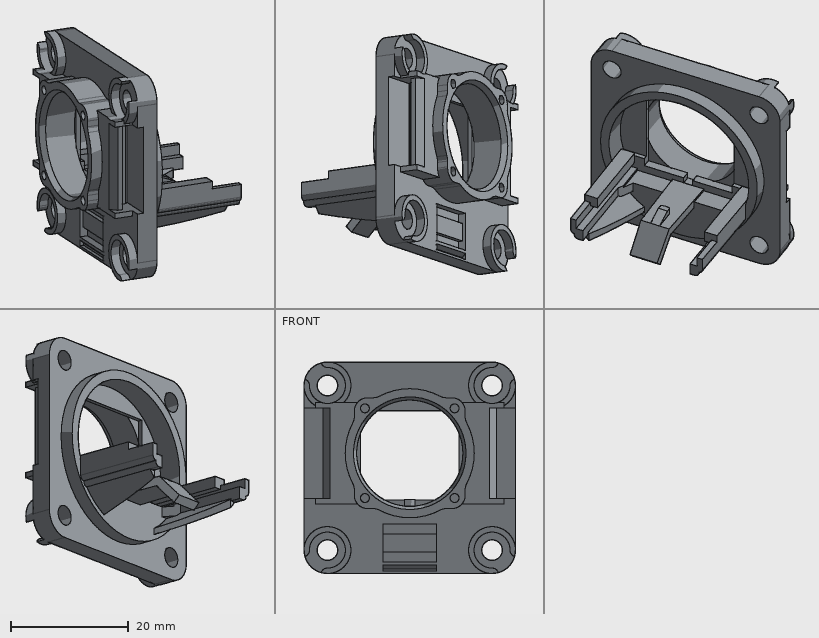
import cadquery as cq
import math

plate_side = 36.0
corner_radius = 4.0
plate_front = -3.7
web_front = -2.55
web_back = -1.0
side_web_back = -1.75
side_web_bottom = -3.95

rim_radius = 14.95
rim_back = 2.5
cavity_radius = 13.32
cavity_floor = -6.9

ring_z = 2.5
ring_front = -9.0
ring_radius = 10.98
bore_radius = 9.05
bore_mouth_radius = 9.58
bore_mouth_depth = 1.0
ear_half = 9.45
ear_corner_radius = 2.25
ear_blend_radius = 2.0
ear_hole_offset = 7.65
ear_hole_radius = 0.75

window_half_width = 8.35
window_top = 9.7
window_bottom = -5.47
notch_half_width = 0.85

collar_front = -5.3
collar_bore_radius = 3.05
collar_lip_radius = 1.15
screw_hole_radius = 1.73
hole_offset = plate_side / 2 - corner_radius

box_front = -7.0
box_half_width = 16.02
box_half_height = 8.65
clip_half_height = 7.7
clip_lip_x = 14.72
clip_mouth_x = 13.6
clip_undercut_x = 12.0
clip_flare = 0.5
clip_lip_back = -5.0

latch_half_width = 4.57
latch_top = -9.58
latch_bottom = -16.02
latch_floor = -2.25
latch_pad_top = -11.25
latch_pad_bottom = -14.33
latch_pad_front = -3.1
slit_top = -16.55
slit_inner_top = -17.2
slit_bottom = -17.6
slit_floor = -3.0

rail_end = 18.55
rail_step_y = 13.05
rail_outer_x = 12.75
rail_tip_x = 12.55
rail_groove_x = 11.52
rail_top = -3.4
rail_tip_top = -4.7
groove_top = -5.4
groove_bottom = -6.5
rail_web_bottom = -7.78
foot_inner_x = 10.2
foot_outer_x = 11.88
foot_bottom = -8.68
rail_round = 0.8
ledge_x = 9.65
brace_x = 8.7
brace_end = 5.35

gusset_outer_radius = 14.1
gusset_thickness = 1.0
gusset_end = 16.65
gusset_base_x = 6.6
gusset_tip_x = 10.0

tab_base_half = 3.0
tab_tip_half = 2.6
tab_thickness = 1.6
tab_bend_y = 11.52
hook_end = 15.88
hook_angle = math.radians(45)
bump_top = -5.35
bump_front = 7.5
bump_side_front = 7.7
bump_crest_end = 8.55


def box(x0, x1, y0, y1, z0, z1):
    """Block between opposite corners."""
    return cq.Workplane("XY").box(x1 - x0, y1 - y0, z1 - z0, centered=False).translate((x0, y0, z0))


def disc(radius, y0, y1, x=0.0, z=0.0):
    """Round disc along Y."""
    return cq.Workplane("XZ", origin=(x, y0, z)).circle(radius).extrude(y0 - y1)


def plan_prism(points, z0, z1):
    """Prism with an outline in X and Y, running up from z0 to z1."""
    return cq.Workplane("XY").workplane(offset=z0).polyline(points).close().extrude(z1 - z0)


def side_prism(points, half_width):
    """Prism with an outline in Y and Z, centred on X = 0."""
    return cq.Workplane("YZ").polyline(points).close().extrude(half_width, both=True)


def both_sides(body):
    """The body together with its mirror image across X = 0."""
    return body.union(body.mirror("YZ"))


def plate_and_rim():
    half = plate_side / 2
    plate = box(-half, half, plate_front, 0, -half, half).edges("|Y").fillet(corner_radius)
    return plate.union(disc(rim_radius, 0, rim_back))


def rear_cavity():
    """Round recess open to the back, with a flat bottom and floors at two depths."""
    r = cavity_radius
    upper = box(-r, r, side_web_back, rim_back, side_web_bottom, r)
    upper = upper.intersect(disc(r, side_web_back, rim_back))
    lower = box(-r, r, web_back, rim_back, cavity_floor, side_web_bottom)
    lower = lower.intersect(disc(r, web_back, rim_back))
    return upper.union(lower)


def bore_ring():
    """Raised ring with four rounded ears blended into it."""
    ears = box(-ear_half, ear_half, ring_front, plate_front, -ear_half, ear_half)
    ears = ears.edges("|Y").fillet(ear_corner_radius)
    ring = disc(ring_radius, ring_front, plate_front).union(ears)
    meet = math.sqrt(ring_radius ** 2 - ear_half ** 2)
    middle_y = (ring_front + plate_front) / 2
    for x, z in ((meet, ear_half), (ear_half, meet)):
        for side_x in (-1, 1):
            for side_z in (-1, 1):
                corner = cq.selectors.NearestToPointSelector((side_x * x, middle_y, side_z * z))
                ring = ring.edges("|Y").edges(corner).fillet(ear_blend_radius)
    return ring.translate((0, 0, ring_z))


def bore_cuts():
    """Bore with a tapered mouth, the window behind it, its notch and the ear holes."""
    cuts = disc(bore_radius, ring_front, web_front, z=ring_z)
    mouth = (cq.Workplane("XZ", origin=(0, ring_front, ring_z)).circle(bore_mouth_radius)
             .workplane(offset=-bore_mouth_depth).circle(bore_radius).loft())
    window = box(-window_half_width, window_half_width, web_front, web_back, window_bottom, window_top)
    notch = box(-notch_half_width, notch_half_width, web_front, web_back, ring_z - bore_radius, window_bottom)
    cuts = cuts.union(mouth).union(window).union(notch)
    for side_x in (-1, 1):
        for side_z in (-1, 1):
            cuts = cuts.union(disc(ear_hole_radius, ring_front, plate_front,
                                   side_x * ear_hole_offset, ring_z + side_z * ear_hole_offset))
    return cuts


def collar_recess():
    """Counterbore open towards the +X +Z corner, with rounded lips at the opening."""
    reach = collar_bore_radius + collar_lip_radius
    mouth = box(0, reach, collar_front, plate_front, 0, reach)
    for x, z in ((reach, 0), (0, reach)):
        mouth = mouth.cut(disc(collar_lip_radius, collar_front, plate_front, x, z))
    return mouth.union(disc(collar_bore_radius, box_front, plate_front))


def at_corners(body):
    """Copies of a body made for the +X +Z corner, mirrored to all four corners."""
    right = body.translate((hole_offset, 0, hole_offset))
    right = right.union(right.mirror("XY"))
    return both_sides(right)


def clip_pocket():
    """Pocket on the -X side, open outwards, with a chamfered lip over an undercut."""
    edge = -plate_side / 2
    lip_chamfer_back = box_front + clip_lip_x - clip_mouth_x
    outline = [(edge, box_front), (-clip_mouth_x, box_front), (-clip_lip_x, lip_chamfer_back),
               (-clip_lip_x, clip_lip_back), (-clip_undercut_x, clip_lip_back),
               (-clip_undercut_x, web_front - clip_flare), (-clip_undercut_x + clip_flare, web_front),
               (edge, web_front)]
    return plan_prism(outline, ring_z - clip_half_height, ring_z + clip_half_height)


def latch_pocket():
    """Pocket below the ring with a raised pad, and a narrow slit under it."""
    w = latch_half_width
    pocket = box(-w, w, plate_front, latch_floor, latch_bottom, latch_top)
    pad = box(-w, w, latch_pad_front, latch_floor, latch_pad_bottom, latch_pad_top)
    slit = side_prism([(plate_front, slit_top), (slit_floor, slit_inner_top),
                       (slit_floor, slit_bottom), (plate_front, slit_bottom)], w)
    return pocket.cut(pad).union(slit)


def rail():
    """Grooved rail on the -X side, with its stepped top, rounded foot and brace."""
    web = plan_prism([(-rail_outer_x, web_back), (-rail_tip_x, rail_end),
                      (-rail_groove_x, rail_end), (-rail_groove_x, web_back)],
                     rail_web_bottom, rail_tip_top)
    web = web.faces("<Z").edges("<X").fillet(rail_round)
    draft = (rail_outer_x - rail_tip_x) / (rail_end - web_back)
    outer_at_step = rail_outer_x - draft * (rail_step_y - web_back)
    head = plan_prism([(-rail_outer_x, web_back), (-outer_at_step, rail_step_y),
                       (-foot_inner_x, rail_step_y), (-foot_inner_x, web_back)], groove_top, rail_top)
    foot = box(-foot_outer_x, -foot_inner_x, web_back, rail_end, foot_bottom, groove_bottom)
    foot = foot.faces("<Z").edges("<X").fillet(rail_round)
    brace_slope = (brace_end - rim_back) / (foot_inner_x - brace_x)
    ledge_end = brace_end - brace_slope * (foot_inner_x - ledge_x)
    ledge = plan_prism([(-foot_inner_x, web_back), (-foot_inner_x, brace_end),
                        (-ledge_x, ledge_end), (-ledge_x, web_back)], cavity_floor, groove_bottom)
    brace = plan_prism([(-foot_inner_x, rim_back), (-foot_inner_x, brace_end), (-brace_x, rim_back)],
                       foot_bottom, cavity_floor)
    return web.union(head).union(foot).union(ledge).union(brace)


def gusset():
    """Curved shell under the -X rail, cut back along a slope."""
    inner = gusset_outer_radius - gusset_thickness
    shell = disc(gusset_outer_radius, rim_back, gusset_end).cut(disc(inner, rim_back, gusset_end))
    keep = plan_prism([(-foot_outer_x, rim_back), (-foot_outer_x, gusset_end),
                       (-gusset_tip_x, gusset_end), (-gusset_base_x, rim_back)],
                      -gusset_outer_radius, rail_web_bottom)
    return shell.intersect(keep)


def tab():
    """Middle tab that bends down into a hook, with a rounded bump on top."""
    drop = (hook_end - tab_bend_y) * math.tan(hook_angle)
    end_run = tab_thickness * math.sin(hook_angle)
    end_drop = tab_thickness * math.cos(hook_angle)
    bend_back = tab_thickness * math.tan(hook_angle / 2)
    top = groove_bottom
    profile = [(web_back, top), (tab_bend_y, top), (hook_end, top - drop),
               (hook_end - end_run, top - drop - end_drop),
               (tab_bend_y - bend_back, top - tab_thickness), (web_back, top - tab_thickness)]
    plan = plan_prism([(-tab_base_half, web_back), (-tab_tip_half, hook_end),
                       (tab_tip_half, hook_end), (tab_base_half, web_back)],
                      -plate_side / 2, 0)
    bump = side_prism([(bump_front, top), (bump_front, bump_top), (bump_crest_end, bump_top),
                       (tab_bend_y, top)], notch_half_width)
    nose = (cq.Workplane("XY").workplane(offset=top)
            .moveTo(-notch_half_width, tab_bend_y).lineTo(-notch_half_width, bump_side_front)
            .threePointArc((0, bump_front), (notch_half_width, bump_side_front))
            .lineTo(notch_half_width, tab_bend_y).close().extrude(bump_top - top))
    return side_prism(profile, plate_side / 2).intersect(plan).union(bump.intersect(nose))


side_box = box(-box_half_width, box_half_width, box_front, plate_front,
               ring_z - box_half_height, ring_z + box_half_height)
collars = at_corners(disc(corner_radius, collar_front, plate_front))
screw_hole = disc(screw_hole_radius, plate_front, 0)

result = plate_and_rim().union(side_box).union(collars)
result = result.cut(at_corners(collar_recess())).cut(at_corners(screw_hole))
result = result.cut(both_sides(clip_pocket())).cut(latch_pocket()).cut(rear_cavity())
result = result.union(bore_ring()).cut(bore_cuts())
result = result.union(both_sides(rail())).union(both_sides(gusset())).union(tab())